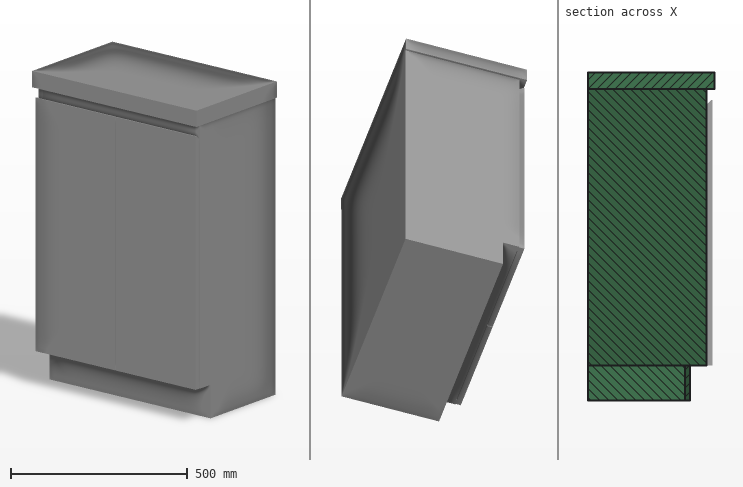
import cadquery as cq

WIDTH = 600.0
DEPTH = 360.0
HEIGHT = 930.0
BOARD = 16.0

WORKTOP_THICKNESS = 48.0
EDGE_BAND = 1.0
WORKTOP_SIDE_OVERHANG = 6.0
WORKTOP_FRONT_OVERHANG = 6.0

FACE_RECESS = 2.0

BASE_HEIGHT = 99.5
BASE_SETBACK = 70.0

DOOR_TOP_GAP = 31.0
DOOR_GAP = 3.0
DOOR_SIDE_INSET = 2.0
DOOR_TOP_LAND = 4.0

BACK = DEPTH / 2
FRONT = -DEPTH / 2
CARCASS_WIDTH = WIDTH - 2 * WORKTOP_SIDE_OVERHANG
INNER_WIDTH = CARCASS_WIDTH - 2 * BOARD
CARCASS_TOP = HEIGHT - WORKTOP_THICKNESS
DOOR_FRONT = FRONT + WORKTOP_FRONT_OVERHANG
CARCASS_FRONT = DOOR_FRONT + BOARD
KICK_FRONT = FRONT + BASE_SETBACK
KICK_BACK = KICK_FRONT + BOARD
DOOR_TOP = CARCASS_TOP - DOOR_TOP_GAP
DOOR_BEVEL = BOARD - DOOR_TOP_LAND
DOOR_WIDTH = (CARCASS_WIDTH - DOOR_GAP) / 2 - DOOR_SIDE_INSET


def block(x_center, width, y_front, y_back, z_bottom, z_top):
    """Rectangular board given by its X center and width and its Y and Z limits."""
    return (
        cq.Workplane("XY")
        .box(width, y_back - y_front, z_top - z_bottom, centered=(True, False, False))
        .translate((x_center, y_front, z_bottom))
    )


def make_edge_band(side):
    """Strip covering one worktop end; side is -1 (left) or +1 (right)."""
    x_center = side * (WIDTH - EDGE_BAND) / 2
    return block(x_center, EDGE_BAND, FRONT, BACK, CARCASS_TOP, HEIGHT)


def make_carcass():
    """Cabinet body with its front face set slightly back between the side walls."""
    body = block(0, CARCASS_WIDTH, CARCASS_FRONT, BACK, BASE_HEIGHT, CARCASS_TOP)
    recess_back = CARCASS_FRONT + FACE_RECESS
    return body.cut(block(0, INNER_WIDTH, CARCASS_FRONT, recess_back, BASE_HEIGHT, CARCASS_TOP))


def make_door(side):
    """Door on the left (-1) or right (+1), with a 45 degree finger bevel along its rear top edge."""
    x_center = side * (DOOR_GAP + DOOR_WIDTH) / 2
    door = block(x_center, DOOR_WIDTH, DOOR_FRONT, CARCASS_FRONT, BASE_HEIGHT, DOOR_TOP)
    bevel = (
        cq.Workplane("YZ")
        .polyline([
            (CARCASS_FRONT, DOOR_TOP - DOOR_BEVEL),
            (CARCASS_FRONT, DOOR_TOP),
            (CARCASS_FRONT - DOOR_BEVEL, DOOR_TOP),
        ])
        .close()
        .extrude(DOOR_WIDTH / 2, both=True)
        .translate((x_center, 0, 0))
    )
    return door.cut(bevel)


worktop = block(0, WIDTH - 2 * EDGE_BAND, FRONT, BACK, CARCASS_TOP, HEIGHT)
carcass = make_carcass()
kick_board = block(0, CARCASS_WIDTH, KICK_FRONT, KICK_BACK, 0, BASE_HEIGHT)
base = block(0, CARCASS_WIDTH, KICK_BACK, BACK, 0, BASE_HEIGHT)
edge_bands = [make_edge_band(side) for side in (-1, 1)]
doors = [make_door(side) for side in (-1, 1)]

result = cq.Compound.makeCompound([
    worktop.val(),
    carcass.val(),
    kick_board.val(),
    base.val(),
    *[band.val() for band in edge_bands],
    *[door.val() for door in doors],
])